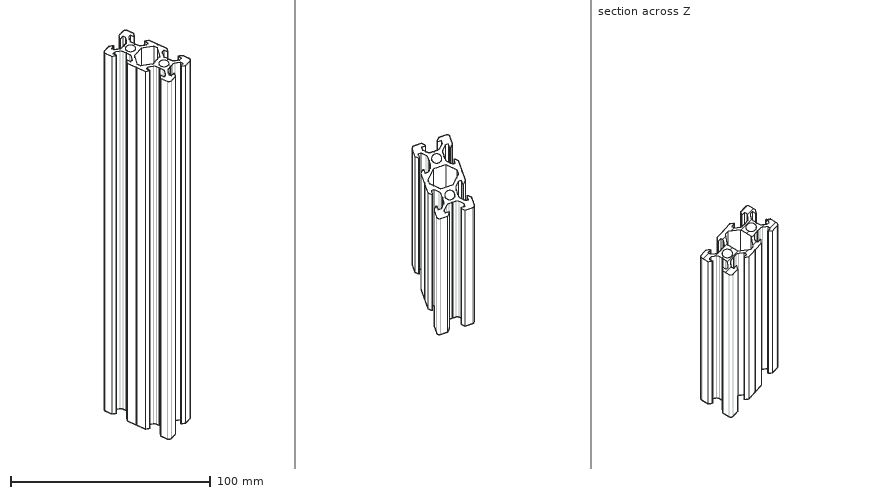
import cadquery as cq
import math

length = 250.0
cell = 20.0
half_cell = cell / 2
corner_radius = 1.5

throat_width = 6.2
throat_half_width = throat_width / 2
flare_depth = 1.5
mouth_half_width = throat_half_width + flare_depth
lip_depth = 2.0
chamber_half_width = 5.2
slot_depth = 6.0
floor_fillet_radius = 2.0

groove_half_width = 0.2
groove_depth = 0.2

web_width = 1.8
web_half_offset = web_width / math.sqrt(2)
core_half_width = half_cell - slot_depth
chamber_wall_end = chamber_half_width + web_half_offset

floor_half_width = core_half_width - web_half_offset
fillet_half_turn = math.radians(45 / 2)
fillet_trim = floor_fillet_radius * math.tan(fillet_half_turn)
fillet_trim_diagonal = fillet_trim / math.sqrt(2)

core_hole_diameter = 5.0
hollow_half_width = 5.5
hollow_half_height = 7.8
hollow_slope_sum = half_cell - web_half_offset


def slot_cutter(centre, angle):
    """Slot opening toward +Y, turned by angle about the cell axis, then placed at X = centre."""
    fillet_start_x = floor_half_width - fillet_trim
    fillet_mid_x = fillet_start_x + floor_fillet_radius * math.sin(fillet_half_turn)
    fillet_mid_y = core_half_width + floor_fillet_radius * (1 - math.cos(fillet_half_turn))
    fillet_end_x = floor_half_width + fillet_trim_diagonal
    fillet_end_y = core_half_width + fillet_trim_diagonal

    half_slot = (
        cq.Workplane("XY")
        .moveTo(0, half_cell)
        .lineTo(mouth_half_width, half_cell)
        .lineTo(throat_half_width, half_cell - flare_depth)
        .lineTo(throat_half_width, half_cell - lip_depth)
        .lineTo(chamber_half_width, half_cell - lip_depth)
        .lineTo(chamber_half_width, chamber_wall_end)
        .lineTo(fillet_end_x, fillet_end_y)
        .threePointArc((fillet_mid_x, fillet_mid_y), (fillet_start_x, core_half_width))
        .lineTo(groove_half_width, core_half_width)
        .lineTo(0, core_half_width - groove_depth)
        .close()
        .extrude(length)
    )
    slot = half_slot.union(half_slot.mirror("YZ"))
    return slot.rotate((0, 0, 0), (0, 0, 1), angle).translate((centre, 0, 0))


def hollow_cutter():
    """Hollow with upright sides, 45 degree slopes and narrow flat ends."""
    side_half_height = hollow_slope_sum - hollow_half_width
    end_half_width = hollow_slope_sum - hollow_half_height
    quarter = [(hollow_half_width, side_half_height), (end_half_width, hollow_half_height)]
    upper = quarter + [(-x, y) for x, y in reversed(quarter)]
    outline = upper + [(-x, -y) for x, y in upper]
    return cq.Workplane("XY").polyline(outline).close().extrude(length)


def wall_groove_cutter(side):
    """V groove between the two slots of a wide face; side is 1 for +Y and -1 for -Y."""
    face_y = side * half_cell
    tip_y = side * (half_cell - groove_depth)
    outline = [(-groove_half_width, face_y), (groove_half_width, face_y), (0, tip_y)]
    return cq.Workplane("XY").polyline(outline).close().extrude(length)


result = cq.Workplane("XY").box(2 * cell, cell, length, centered=(True, True, False))
result = result.edges("|Z").fillet(corner_radius)

for centre, side_angle in ((-half_cell, 90), (half_cell, -90)):
    for angle in (0, 180, side_angle):
        result = result.cut(slot_cutter(centre, angle))
    core_hole = cq.Workplane("XY").center(centre, 0).circle(core_hole_diameter / 2).extrude(length)
    result = result.cut(core_hole)

for side in (1, -1):
    result = result.cut(wall_groove_cutter(side))

result = result.cut(hollow_cutter())